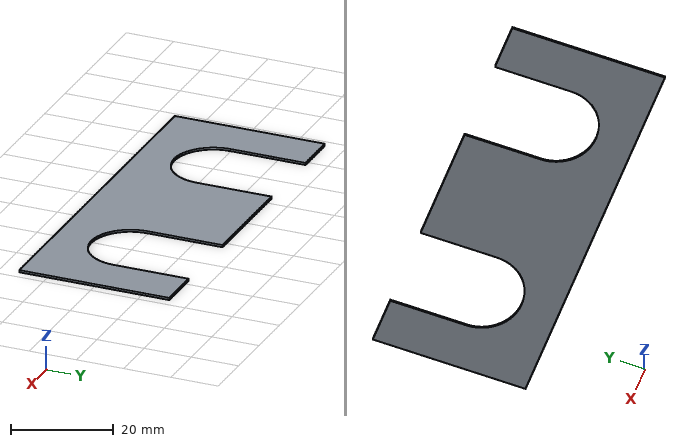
import cadquery as cq

length = 76.2
width = 31.8
thickness = 0.5

slot_width = 16.6
slot_spacing = 40.6

slot_radius = slot_width / 2
back_edge = width / 2
arc_center_y = 0.0


def open_slot(center_x):
    """Cutter with a semicircular bottom and straight sides up to the back edge."""
    left = center_x - slot_radius
    right = center_x + slot_radius
    return (
        cq.Workplane("XY")
        .moveTo(left, back_edge)
        .lineTo(left, arc_center_y)
        .threePointArc((center_x, arc_center_y - slot_radius), (right, arc_center_y))
        .lineTo(right, back_edge)
        .close()
        .extrude(thickness)
    )


result = cq.Workplane("XY").box(length, width, thickness, centered=(True, True, False))
for side in (-1, 1):
    result = result.cut(open_slot(side * slot_spacing / 2))